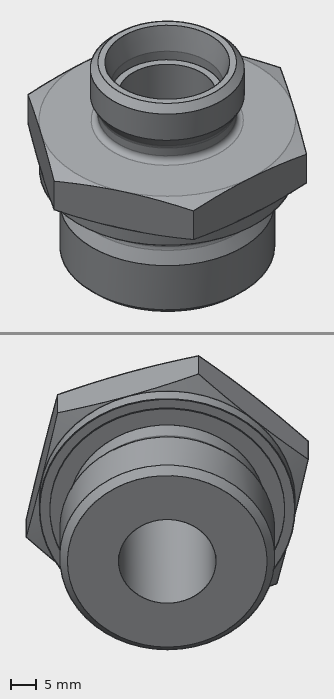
import cadquery as cq
import math

TOTAL_HEIGHT = 46.0
SEAL_BOTTOM = 19.6
FLANGE_BOTTOM = 20.0
HEX_BOTTOM = 23.0
HEX_TOP = 32.0

LOWER_THREAD_RADIUS = 41.9 / 2
LOWER_NECK_RADIUS = 38.5 / 2
LOWER_THREAD_TOP = 12.2

UPPER_THREAD_RADIUS = 30.0 / 2
UPPER_NECK_RADIUS = 27.0 / 2
UPPER_THREAD_BOTTOM = 38.15

END_CHAMFER = 1.5
RUNOUT_ANGLE = math.radians(30)
RUNOUT_FILLET = 1.5
NECK_ROOT_FILLET = 1.3

ACROSS_FLATS = 50.0
ACROSS_CORNERS = ACROSS_FLATS / math.cos(math.radians(30))
HEX_CHAMFER_ANGLE = math.radians(15)
FLANGE_RADIUS = 49.9 / 2
FLANGE_EDGE_CHAMFER = 0.1

BORE_RADIUS = 19.0 / 2
SOCKET_RADIUS = 22.0 / 2
SOCKET_DEPTH = 7.5
CONE_MOUTH_RADIUS = 24.3 / 2
CONE_HALF_ANGLE = math.radians(12)

SEAL_RADIUS = 45.8 / 2
SEAL_RECESS_DEPTH = 1.15

PROFILE_PLANE = "XZ"


def revolve_profile(points):
    """Revolve a closed (radius, height) outline about the Z axis."""
    return (
        cq.Workplane(PROFILE_PLANE)
        .polyline(points)
        .close()
        .revolve(360, (0, 0, 0), (0, 1, 0))
    )


def circle_edges_at(body, radius, height):
    """Select the full circular edges of a given radius and height."""
    tolerance = 0.005
    edges = [
        edge
        for edge in body.edges("%CIRCLE").vals()
        if abs(edge.radius() - radius) < tolerance
        and abs(edge.Center().z - height) < tolerance
    ]
    return body.newObject(edges)


def make_lower_stub():
    """Threaded stub, runout cone, neck and flange below the hexagon."""
    runout_height = (LOWER_THREAD_RADIUS - LOWER_NECK_RADIUS) / math.tan(RUNOUT_ANGLE)
    neck_start = LOWER_THREAD_TOP + runout_height
    stub = revolve_profile([
        (0, 0),
        (LOWER_THREAD_RADIUS - END_CHAMFER, 0),
        (LOWER_THREAD_RADIUS, END_CHAMFER),
        (LOWER_THREAD_RADIUS, LOWER_THREAD_TOP),
        (LOWER_NECK_RADIUS, neck_start),
        (LOWER_NECK_RADIUS, FLANGE_BOTTOM),
        (FLANGE_RADIUS - FLANGE_EDGE_CHAMFER, FLANGE_BOTTOM),
        (FLANGE_RADIUS, FLANGE_BOTTOM + FLANGE_EDGE_CHAMFER),
        (FLANGE_RADIUS, HEX_BOTTOM),
        (0, HEX_BOTTOM),
    ])
    return circle_edges_at(stub, LOWER_NECK_RADIUS, neck_start).fillet(RUNOUT_FILLET)


def make_hexagon():
    """Hexagon with corners on +Y and -Y, chamfered conically at both ends."""
    hexagon = (
        cq.Workplane("XY", origin=(0, 0, HEX_BOTTOM))
        .polygon(6, ACROSS_CORNERS)
        .extrude(HEX_TOP - HEX_BOTTOM)
        .rotate((0, 0, 0), (0, 0, 1), 30)
    )
    corner_radius = ACROSS_CORNERS / 2
    flat_radius = ACROSS_FLATS / 2
    corner_drop = (corner_radius - flat_radius) * math.tan(HEX_CHAMFER_ANGLE)
    chamfer_envelope = revolve_profile([
        (0, HEX_BOTTOM),
        (flat_radius, HEX_BOTTOM),
        (corner_radius, HEX_BOTTOM + corner_drop),
        (corner_radius, HEX_TOP - corner_drop),
        (flat_radius, HEX_TOP),
        (0, HEX_TOP),
    ])
    return hexagon.intersect(chamfer_envelope)


def make_upper_stub():
    """Neck, runout cone and threaded stub above the hexagon."""
    runout_height = (UPPER_THREAD_RADIUS - UPPER_NECK_RADIUS) / math.tan(RUNOUT_ANGLE)
    neck_end = UPPER_THREAD_BOTTOM - runout_height
    stub = revolve_profile([
        (0, HEX_TOP),
        (UPPER_NECK_RADIUS, HEX_TOP),
        (UPPER_NECK_RADIUS, neck_end),
        (UPPER_THREAD_RADIUS, UPPER_THREAD_BOTTOM),
        (UPPER_THREAD_RADIUS, TOTAL_HEIGHT - END_CHAMFER),
        (UPPER_THREAD_RADIUS - END_CHAMFER, TOTAL_HEIGHT),
        (0, TOTAL_HEIGHT),
    ])
    return circle_edges_at(stub, UPPER_NECK_RADIUS, neck_end).fillet(RUNOUT_FILLET)


def make_passage():
    """Through bore with a tube socket and a conical mouth at the top."""
    cone_depth = (CONE_MOUTH_RADIUS - SOCKET_RADIUS) / math.tan(CONE_HALF_ANGLE)
    return revolve_profile([
        (0, 0),
        (BORE_RADIUS, 0),
        (BORE_RADIUS, TOTAL_HEIGHT - SOCKET_DEPTH),
        (SOCKET_RADIUS, TOTAL_HEIGHT - SOCKET_DEPTH),
        (SOCKET_RADIUS, TOTAL_HEIGHT - cone_depth),
        (CONE_MOUTH_RADIUS, TOTAL_HEIGHT),
        (0, TOTAL_HEIGHT),
    ])


def make_seal():
    """Flat ring around the lower neck, filling its recess in the flange."""
    thickness = FLANGE_BOTTOM + SEAL_RECESS_DEPTH - SEAL_BOTTOM
    return (
        cq.Workplane("XY", origin=(0, 0, SEAL_BOTTOM))
        .circle(SEAL_RADIUS)
        .circle(LOWER_NECK_RADIUS)
        .extrude(thickness)
    )


def make_fitting(seal):
    """Complete fitting, hollowed by the passage and recessed for the seal."""
    body = make_lower_stub().union(make_hexagon()).union(make_upper_stub())
    body = circle_edges_at(body, UPPER_NECK_RADIUS, HEX_TOP).fillet(NECK_ROOT_FILLET)
    return body.cut(make_passage()).cut(seal)


seal = make_seal()
fitting = make_fitting(seal)

result = cq.Compound.makeCompound([fitting.solids().val(), seal.val()])